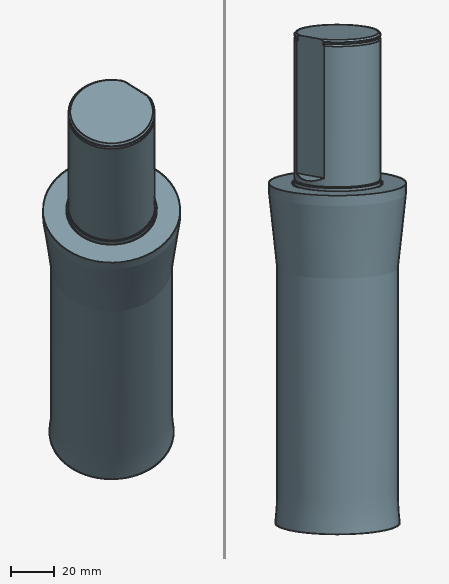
import cadquery as cq

TOTAL_HEIGHT = 229.0
BASE_RIM_HEIGHT = 1.5
FLARE_TOP_HEIGHT = 16.5
HEAD_BOTTOM_HEIGHT = 120.0
HEAD_BAND_HEIGHT = 4.8
HOUSING_HEIGHT = 159.2

BODY_RADIUS = 55.2 / 2
RIM_RADIUS = 56.8 / 2
HEAD_RADIUS = 62.5 / 2
FLARE_BULGE = 0.2
BORE_RADIUS = 40.0 / 2
MOUTH_CHAMFER = 0.7

ROD_RADIUS = 39.5 / 2
TIP_CHAMFER = 1.0
GROOVE_DEPTH = 0.5
TIP_GROOVE_BOTTOM_HEIGHT = TOTAL_HEIGHT - 3.0
TIP_GROOVE_WIDTH = 1.8
BASE_GROOVE_BOTTOM_HEIGHT = HOUSING_HEIGHT + 1.1
BASE_GROOVE_WIDTH = 0.7
ROD_SEAT_HEIGHT = HEAD_BOTTOM_HEIGHT
FLAT_OFFSET = 17.6
FLAT_START_HEIGHT = HOUSING_HEIGHT + 5.7
CUT_CLEARANCE = 0.2


def make_housing():
    """Turned housing with a flared head, a domed base and a blind bore for the rod."""
    flare_middle = (
        (BODY_RADIUS + RIM_RADIUS) / 2 - FLARE_BULGE,
        (BASE_RIM_HEIGHT + FLARE_TOP_HEIGHT) / 2,
    )
    dome_middle = (RIM_RADIUS / 2, BASE_RIM_HEIGHT / 4)
    profile = (
        cq.Workplane("XZ")
        .moveTo(0, 0)
        .threePointArc(dome_middle, (RIM_RADIUS, BASE_RIM_HEIGHT))
        .threePointArc(flare_middle, (BODY_RADIUS, FLARE_TOP_HEIGHT))
        .lineTo(BODY_RADIUS, HEAD_BOTTOM_HEIGHT)
        .lineTo(HEAD_RADIUS, HOUSING_HEIGHT - HEAD_BAND_HEIGHT)
        .lineTo(HEAD_RADIUS, HOUSING_HEIGHT)
        .lineTo(BORE_RADIUS + MOUTH_CHAMFER, HOUSING_HEIGHT)
        .lineTo(BORE_RADIUS, HOUSING_HEIGHT - MOUTH_CHAMFER)
        .lineTo(BORE_RADIUS, ROD_SEAT_HEIGHT)
        .lineTo(0, ROD_SEAT_HEIGHT)
        .close()
    )
    return profile.revolve(360, (0, 0, 0), (0, 1, 0))


def make_rod_blank():
    """Plain round rod standing on the bore floor, with a chamfered tip."""
    return (
        cq.Workplane("XY", origin=(0, 0, ROD_SEAT_HEIGHT))
        .circle(ROD_RADIUS)
        .extrude(TOTAL_HEIGHT - ROD_SEAT_HEIGHT)
        .faces(">Z")
        .chamfer(TIP_CHAMFER)
    )


def make_groove_cut(bottom_height, width):
    """Ring that cuts a shallow V groove around the rod."""
    profile = (
        cq.Workplane("XZ")
        .moveTo(ROD_RADIUS, bottom_height)
        .lineTo(ROD_RADIUS - GROOVE_DEPTH, bottom_height + width / 2)
        .lineTo(ROD_RADIUS, bottom_height + width)
        .lineTo(ROD_RADIUS + CUT_CLEARANCE, bottom_height + width)
        .lineTo(ROD_RADIUS + CUT_CLEARANCE, bottom_height)
        .close()
    )
    return profile.revolve(360, (0, 0, 0), (0, 1, 0))


def make_flat_cut():
    """Cutter for the +Y flat, whose lower end slopes out of the rod at 45 degrees."""
    outer_y = ROD_RADIUS + CUT_CLEARANCE
    ramp_drop = outer_y - FLAT_OFFSET
    top = TOTAL_HEIGHT + CUT_CLEARANCE
    return (
        cq.Workplane("YZ")
        .moveTo(FLAT_OFFSET, FLAT_START_HEIGHT)
        .lineTo(outer_y, FLAT_START_HEIGHT - ramp_drop)
        .lineTo(outer_y, top)
        .lineTo(FLAT_OFFSET, top)
        .close()
        .extrude(ROD_RADIUS, both=True)
    )


def make_rod():
    """Rod with a V groove at each end of its exposed length and a flat along its +Y side."""
    rod = make_rod_blank()
    grooves = [
        (TIP_GROOVE_BOTTOM_HEIGHT, TIP_GROOVE_WIDTH),
        (BASE_GROOVE_BOTTOM_HEIGHT, BASE_GROOVE_WIDTH),
    ]
    for bottom_height, width in grooves:
        rod = rod.cut(make_groove_cut(bottom_height, width))
    return rod.cut(make_flat_cut())


housing = make_housing()
rod = make_rod()

result = cq.Compound.makeCompound([housing.val(), rod.val()])